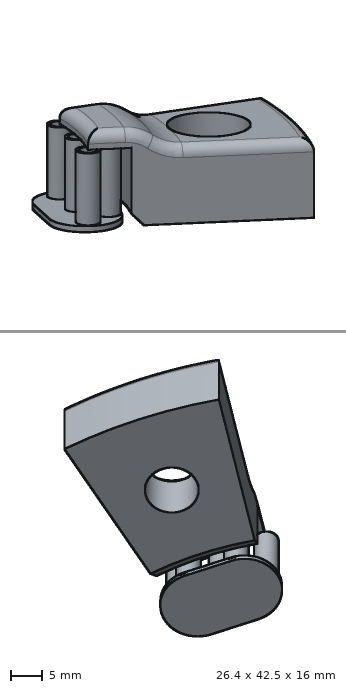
import cadquery as cq
import math


half_angle = 9.0
outer_radius = 84.5
nose_radius = 48.0
wall_radius = 55.0
low_top = 13.0
high_top = 16.0
step_start_radius = 63.32
step_arc_radius = 8.0
bottom_chamfer = 2.0
edge_fillet = 2.0

hole_y = 70.0
hole_diameter = 8.6
counterbore_diameter = 13.4
counterbore_depth = 4.0

base_length = 20.0
base_width = 12.0
base_height = 1.0

tube_diameter = 4.0
tube_bore = 3.0
front_tube_angles = (-half_angle, 0, half_angle)
rear_row_radius = 52.0
rear_tube_angles = (-half_angle / 2, half_angle / 2)
rear_tube_top = 12.62


def sector_profile():
    """Radial section, with X as the radius and Y as the height; two equal arcs form the step."""
    half_rise = (high_top - low_top) / 2
    half_run = math.sqrt(step_arc_radius**2 - (step_arc_radius - half_rise) ** 2)
    middle_radius = step_start_radius - half_run
    step_end_radius = middle_radius - half_run
    half_turn = math.asin(half_run / step_arc_radius) / 2
    arc_run = step_arc_radius * math.sin(half_turn)
    arc_rise = step_arc_radius * (1 - math.cos(half_turn))
    return (
        cq.Workplane("XY")
        .moveTo(outer_radius, 0)
        .lineTo(outer_radius, low_top)
        .lineTo(step_start_radius, low_top)
        .threePointArc((step_start_radius - arc_run, low_top + arc_rise), (middle_radius, low_top + half_rise))
        .threePointArc((step_end_radius + arc_run, high_top - arc_rise), (step_end_radius, high_top))
        .lineTo(nose_radius, high_top)
        .lineTo(nose_radius, low_top)
        .lineTo(wall_radius, low_top)
        .lineTo(wall_radius, bottom_chamfer)
        .lineTo(wall_radius + bottom_chamfer, 0)
        .close()
    )


def make_block():
    block = (
        sector_profile()
        .revolve(2 * half_angle, (0, 0, 0), (0, 1, 0))
        .rotate((0, 0, 0), (1, 0, 0), 90)
    )
    sector_middle = block.val().Center()
    middle_angle = math.degrees(math.atan2(sector_middle.y, sector_middle.x))
    block = block.rotate((0, 0, 0), (0, 0, 1), 90 - middle_angle)

    upward_faces = [face for face in block.faces().vals() if face.normalAt().z > 0.1]
    top_outline = [
        edge
        for face in upward_faces
        for edge in face.Edges()
        if not any(edge.isSame(other) for near in upward_faces if near is not face for other in near.Edges())
    ]
    block = block.newObject(top_outline).fillet(edge_fillet)

    return (
        block.copyWorkplane(cq.Workplane("XY", origin=(0, hole_y, low_top)))
        .circle(counterbore_diameter / 2)
        .cutBlind(-counterbore_depth)
        .copyWorkplane(cq.Workplane("XY", origin=(0, hole_y, 0)))
        .circle(hole_diameter / 2)
        .cutBlind(low_top)
    )


def make_base():
    """Stadium-shaped base plate, centred below the nose."""
    return cq.Workplane("XY", origin=(0, nose_radius, 0)).slot2D(base_length, base_width).extrude(base_height)


def make_tube(row_radius, angle, top):
    """Tube standing on the base plate at a polar position measured from +Y."""
    x = row_radius * math.sin(math.radians(angle))
    y = row_radius * math.cos(math.radians(angle))
    tube = cq.Workplane("XY", origin=(x, y, 0)).circle(tube_diameter / 2).extrude(top)
    bore = cq.Workplane("XY", origin=(x, y, base_height)).circle(tube_bore / 2).extrude(top - base_height)
    return tube.cut(bore)


def make_tube_holder():
    holder = make_base()
    for angle in front_tube_angles:
        holder = holder.union(make_tube(nose_radius, angle, low_top))
    for angle in rear_tube_angles:
        holder = holder.union(make_tube(rear_row_radius, angle, rear_tube_top))
    return holder


block = make_block()
tube_holder = make_tube_holder()

result = cq.Compound.makeCompound([block.val(), tube_holder.val()])